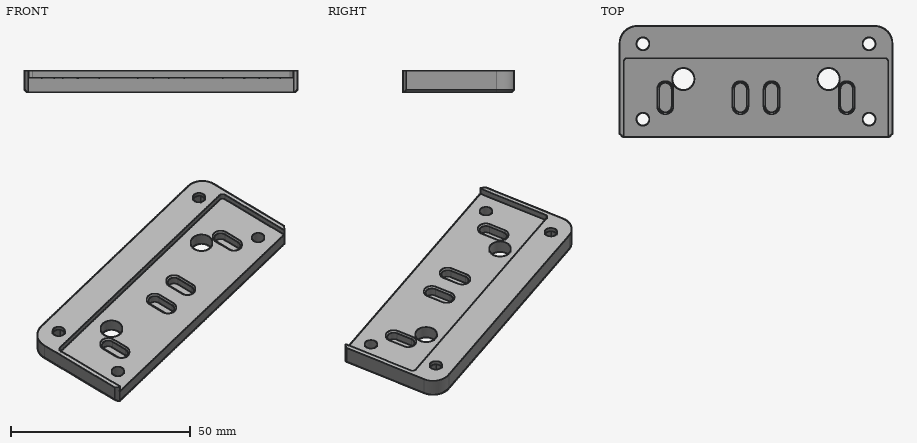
import cadquery as cq
import math

length = 76.0
width = 31.0
height = 6.0
rear_corner_radius = 5.0
front_corner_chamfer = 1.0
bottom_chamfer = 0.7

side_wall = 1.2
rear_land = 9.0
recess_depth = 2.0
recess_corner_radius = 1.0
recess_floor = height - recess_depth

screw_diameter = 3.5
screw_x = 31.5
screw_edge_distance = 5.0

nut_across_flats = 5.5
nut_cover = 1.3
nut_pocket_depth = height - nut_cover

large_diameter = 6.1
large_x = 20.2
large_y = 16.2

slot_positions_x = (4.3, 25.2)
slot_y = 11.0
slot_width = 3.5
slot_straight = 4.7
slot_rim_chamfer = 0.5
slot_depth = 3.0


def plate():
    """Plate with its front edge on Y = 0, centred on X, standing on Z = 0."""
    body = cq.Workplane("XY").box(length, width, height, centered=(True, False, False))
    body = body.edges("|Z and >Y").fillet(rear_corner_radius)
    body = body.faces("<Z").edges("not <Y").chamfer(bottom_chamfer)
    corner = (
        cq.Workplane("XY")
        .polyline([(0, 0), (front_corner_chamfer, 0), (0, front_corner_chamfer)])
        .close()
        .extrude(height)
    )
    left_corner = corner.translate((-length / 2, 0, 0))
    return body.cut(left_corner).cut(left_corner.mirror("YZ"))


def recess():
    """Pocket open to the front, with rounded rear corners."""
    return (
        cq.Workplane("XY", origin=(0, 0, recess_floor))
        .box(length - 2 * side_wall, width - rear_land, recess_depth, centered=(True, False, False))
        .edges("|Z and >Y")
        .fillet(recess_corner_radius)
    )


def through_holes(points, diameter):
    return cq.Workplane("XY").pushPoints(points).circle(diameter / 2).extrude(height)


def nut_pockets(points):
    """Hexagons open at the bottom face, with two flats facing along X."""
    across_corners = nut_across_flats / math.cos(math.pi / 6)
    hexagon = (
        cq.Workplane("XY")
        .polygon(6, across_corners)
        .extrude(nut_pocket_depth)
        .rotate((0, 0, 0), (0, 0, 1), 90)
    )
    pockets = cq.Workplane("XY")
    for x, y in points:
        pockets = pockets.add(hexagon.translate((x, y, 0)))
    return pockets.combine()


def slots():
    """Blind slots running along Y, widened by a chamfer at the recess floor."""
    points = [(side * x, slot_y) for x in slot_positions_x for side in (-1, 1)]
    slot_length = slot_straight + slot_width
    rim_growth = 2 * slot_rim_chamfer
    straight_part = (
        cq.Workplane("XY", origin=(0, 0, recess_floor - slot_depth))
        .pushPoints(points)
        .slot2D(slot_length, slot_width, 90)
        .extrude(slot_depth)
    )
    rim = (
        cq.Workplane("XY", origin=(0, 0, recess_floor))
        .pushPoints(points)
        .slot2D(slot_length + rim_growth, slot_width + rim_growth, 90)
        .extrude(-slot_rim_chamfer, taper=45)
    )
    return straight_part.union(rim)


front_screw_points = [(side * screw_x, screw_edge_distance) for side in (-1, 1)]
rear_screw_points = [(side * screw_x, width - screw_edge_distance) for side in (-1, 1)]
large_points = [(side * large_x, large_y) for side in (-1, 1)]

result = (
    plate()
    .cut(recess())
    .cut(through_holes(front_screw_points + rear_screw_points, screw_diameter))
    .cut(nut_pockets(rear_screw_points))
    .cut(through_holes(large_points, large_diameter))
    .cut(slots())
)